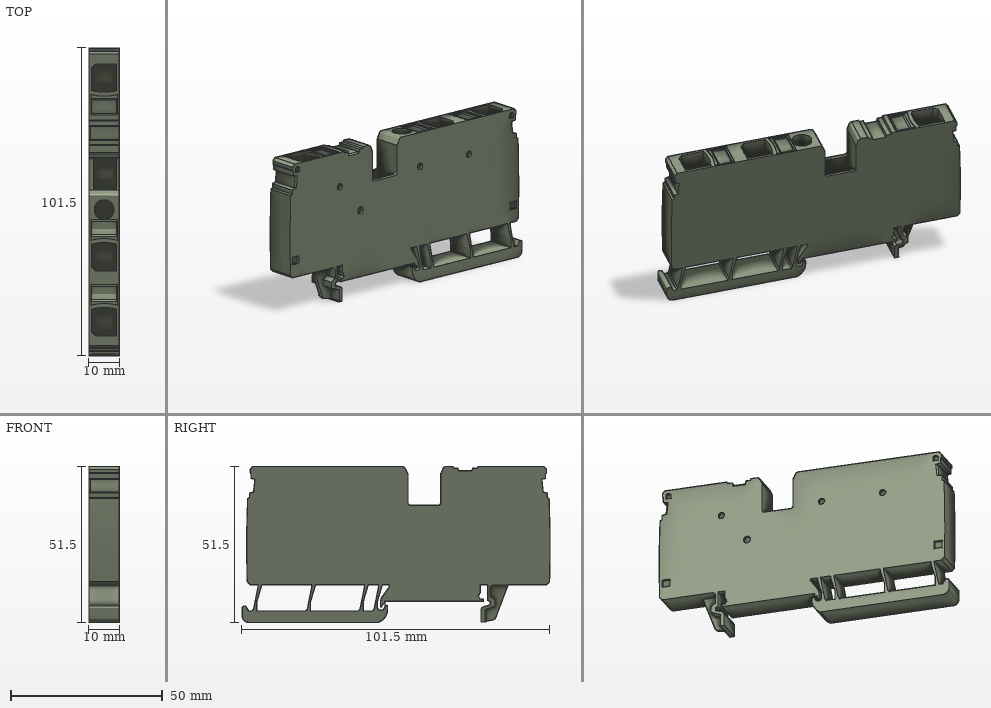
import cadquery as cq


THICKNESS = 10.0
LENGTH = 100.0
HEIGHT = 39.0
FOOT_BOTTOM = -12.45
FOOT_TIP_Y = -51.46

JOIN_OVERLAP = 0.2

HALF_LENGTH = LENGTH / 2
NEAR_FACE = -THICKNESS / 2

END_BULGE = 0.3
END_TOP = 28.4
BOTTOM_CORNER_CUT = 1.0

END_MARKER_TOP = HALF_LENGTH - 2.7, 34.75
END_MARKER_BOTTOM = HALF_LENGTH - 2.25, 30.6
TOP_MARKER_START = 24.2
TOP_MARKER_END = 19.85
MARKER_WALL_DRAFT = 0.25
TOP_MARKER_STEP = 38.45
TOP_MARKER_FLOOR = 37.6
MARKER_BEVEL = 0.5

SADDLE_START = 13.9
SADDLE_END = 3.2
SADDLE_FLOOR = 26.25
SADDLE_RADIUS = 0.7
SADDLE_POCKET_X = (-3.55, 4.15)
SADDLE_POCKET_DEPTH = 10.0

RAIL_SEAT = -5.5
CLIP_SLOT_START = 29.4
CLIP_SLOT_END = 27.0
HOOK_Y = -4.47
CLIP_WEB_THICKNESS = 1.5

FOOT_TOP = -8.6
RIB_TOP_WIDTH = 1.3
FIRST_RIB_Y = -5.26
RIB_OFFSETS = (0.0, 4.63, 22.0, 39.7)

WIRE_ENTRIES = ((35.4, 1), (-14.05, -1), (-35.45, -1))
WELL_X = (-4.1, 4.15)
WELL_LENGTH = 9.4
WELL_SAG = 0.6
WELL_CORNER = 1.3
WELL_DEPTH = 15.0
RELEASE_HALF_WIDTH = 4.4
RELEASE_START = 7.5
RELEASE_END = 1.3
RELEASE_LEDGE_DEPTH = 0.3
RELEASE_LEDGE_WIDTH = 0.3
RELEASE_CHANNEL = (
    (0.6, 0.0),
    (0.6, 1.0),
    (3.15, 1.0),
    (3.7, 0.9),
    (4.95, 0.7),
    (5.5, RELEASE_LEDGE_DEPTH),
    (5.5, 0.0),
)

SOCKET_Y = -3.25
SOCKET_RADIUS = 3.25
SOCKET_DEPTH = 15.0

RECESS_DEPTH = 1.0
ROUND_RECESSES = (
    (28.2, 27.25, 1.05),
    (19.2, 17.3, 1.2),
    (-6.85, 27.25, 1.05),
    (-28.2, 27.25, 1.05),
)
TOP_RECESS_Y = 46.75
TOP_RECESS_Z = 36.95
TOP_RECESS_RADIUS = 0.9
CORNER_RECESS_Y = 47.6
CORNER_RECESS_Z = 5.8
CORNER_RECESS_SIZE = (2.9, 2.6)
CORNER_RECESS_RADIUS = 0.6


def side_plane(x=NEAR_FACE):
    """Sketch plane looking along +X, with Y and Z as its axes."""
    return cq.Workplane("YZ", origin=(x, 0, 0))


def prism(points):
    """Straight-sided outline in Y and Z, through the full thickness."""
    return side_plane().polyline(points).close().extrude(THICKNESS)


def end_points():
    """Stepped outline of the +Y end, from its bulged face up to the top."""
    return [
        (HALF_LENGTH - END_BULGE, END_TOP),
        (HALF_LENGTH - 0.95, 28.75),
        (HALF_LENGTH - 0.95, 30.2),
        END_MARKER_BOTTOM,
        END_MARKER_TOP,
        (HALF_LENGTH - 1.45, 35.0),
        (HALF_LENGTH - 1.45, 36.6),
        (HALF_LENGTH - 1.15, 37.0),
        (HALF_LENGTH - 1.15, 38.0),
        (HALF_LENGTH - 2.0, HEIGHT),
    ]


def make_housing():
    left_end = end_points()
    right_end = [(-y, z) for y, z in reversed(left_end)]
    side_start = HALF_LENGTH - END_BULGE / 2
    mid_height = END_TOP / 2
    top = [
        (26.3, HEIGHT),
        (26.0, TOP_MARKER_STEP),
        (TOP_MARKER_START + MARKER_WALL_DRAFT, TOP_MARKER_STEP),
        (TOP_MARKER_START, TOP_MARKER_FLOOR),
        (TOP_MARKER_END, TOP_MARKER_FLOOR),
        (TOP_MARKER_END - MARKER_WALL_DRAFT, TOP_MARKER_STEP),
        (18.2, TOP_MARKER_STEP),
        (17.9, HEIGHT),
        (15.5, HEIGHT),
    ]
    outline = side_plane().moveTo(side_start - BOTTOM_CORNER_CUT, 0)
    outline = outline.lineTo(side_start, BOTTOM_CORNER_CUT)
    outline = outline.threePointArc((HALF_LENGTH, mid_height), left_end[0])
    for point in left_end[1:] + top:
        outline = outline.lineTo(*point)
    outline = (
        outline.threePointArc((14.9, 38.6), (14.5, 37.8))
        .lineTo(SADDLE_START, 36.5)
        .lineTo(SADDLE_START, SADDLE_FLOOR)
        .lineTo(SADDLE_END, SADDLE_FLOOR)
        .lineTo(SADDLE_END, 36.5)
        .lineTo(2.4, 38.1)
        .threePointArc((2.0, 38.7), (1.15, HEIGHT))
    )
    for point in right_end:
        outline = outline.lineTo(*point)
    outline = outline.threePointArc((-HALF_LENGTH, mid_height), (-side_start, BOTTOM_CORNER_CUT))
    outline = outline.lineTo(-side_start + BOTTOM_CORNER_CUT, 0)
    housing = outline.close().extrude(THICKNESS)
    for y in (SADDLE_START, SADDLE_END):
        corner = cq.selectors.NearestToPointSelector((0, y, SADDLE_FLOOR))
        housing = housing.edges(corner).fillet(SADDLE_RADIUS)
    return housing


def bevel_marker_seats(housing):
    """Bevel the -X edge of the floor of each marker seat."""
    end_y = (END_MARKER_TOP[0] + END_MARKER_BOTTOM[0]) / 2
    end_z = (END_MARKER_TOP[1] + END_MARKER_BOTTOM[1]) / 2
    top_y = (TOP_MARKER_START + TOP_MARKER_END) / 2
    for y, z in ((end_y, end_z), (-end_y, end_z), (top_y, TOP_MARKER_FLOOR)):
        edge = cq.selectors.NearestToPointSelector((NEAR_FACE, y, z))
        housing = housing.edges(edge).chamfer(MARKER_BEVEL)
    return housing


def make_rail_seat():
    """Block under the housing that rests on the rail, ending in a hook at its -Y side."""
    return prism([
        (CLIP_SLOT_END, JOIN_OVERLAP),
        (CLIP_SLOT_END, -2.5),
        (26.4, -3.8),
        (26.9, -4.65),
        (28.0, -4.75),
        (28.0, RAIL_SEAT),
        (HOOK_Y, RAIL_SEAT),
        (HOOK_Y, -6.4),
        (-5.03, -6.4),
        (-5.35, -6.74),
        (-5.35, -7.34),
        (-5.95, -7.34),
        (-5.95, -5.4),
        (-5.6, -4.3),
        (-2.9, -0.47),
        (-3.15, 0),
        (-3.15, JOIN_OVERLAP),
    ])


def make_clip():
    """Springy hook gripping the rail, stiffened by a thin web in mid thickness."""
    strip_outline = [
        (31.4, JOIN_OVERLAP),
        (CLIP_SLOT_START, JOIN_OVERLAP),
        (CLIP_SLOT_START, -5.2),
        (30.2, -5.5),
        (30.2, -6.6),
        (28.0, -7.2),
        (27.2, -7.9),
        (27.2, -12.3),
        (28.8, -12.3),
        (28.5, -12.0),
        (28.5, -8.2),
        (31.8, -7.05),
        (31.8, -4.95),
        (30.2, -3.8),
        (30.2, -1.3),
    ]
    strip = (
        side_plane()
        .polyline(strip_outline)
        .threePointArc((30.55, -0.4), (31.4, 0))
        .close()
        .extrude(THICKNESS)
    )
    web_outline = [
        (36.2, JOIN_OVERLAP),
        (36.2, 0),
        (32.0, -11.1),
        (31.4, -11.6),
        (28.0, -12.2),
        (28.0, -7.8),
        (31.0, -6.8),
        (31.0, -5.2),
        (29.7, -4.0),
        (29.7, JOIN_OVERLAP),
    ]
    web = (
        side_plane(-CLIP_WEB_THICKNESS / 2)
        .polyline(web_outline)
        .close()
        .extrude(CLIP_WEB_THICKNESS)
    )
    return strip.union(web)


def make_rib(y):
    """Slanted rib joining the foot to the housing; y is its upper +Y corner."""
    return prism([
        (y, JOIN_OVERLAP),
        (y, 0),
        (y - 1.35, -4.6),
        (y - 1.62, -5.5),
        (y - 1.62, FOOT_TOP - JOIN_OVERLAP),
        (y - 3.2, FOOT_TOP - JOIN_OVERLAP),
        (y - 3.2, FOOT_TOP),
        (y - 2.75, -7.95),
        (y - RIB_TOP_WIDTH, -0.6),
        (y - RIB_TOP_WIDTH, JOIN_OVERLAP),
    ])


def make_foot():
    lip_y = -3.5
    groove_end_y = FIRST_RIB_Y - 1.62
    bar = (
        side_plane()
        .moveTo(lip_y, -6.93)
        .lineTo(lip_y, -8.0)
        .threePointArc((-4.45, -10.8), (-6.6, FOOT_BOTTOM))
        .lineTo(-49.1, FOOT_BOTTOM)
        .threePointArc((-50.75, -11.9), (FOOT_TIP_Y, -10.4))
        .lineTo(FOOT_TIP_Y, -7.7)
        .threePointArc((-50.9, -6.98), (-50.06, -7.32))
        .lineTo(-49.3, FOOT_TOP)
        .lineTo(groove_end_y - 0.7, FOOT_TOP)
        .lineTo(groove_end_y, -7.5)
        .threePointArc((-5.75, -8.35), (HOOK_Y, -7.2))
        .lineTo(HOOK_Y, -6.8)
        .lineTo(-4.1, -6.7)
        .close()
        .extrude(THICKNESS)
    )
    for offset in RIB_OFFSETS:
        bar = bar.union(make_rib(FIRST_RIB_Y - offset))
    return bar


def top_plane():
    return cq.Workplane("XY", origin=(0, 0, HEIGHT))


def opening(outline, depth):
    """Solid from the top of the housing down to a depth, from an outline in X and Y."""
    return outline.close().extrude(-depth)


def make_well(middle_y, direction):
    """Wire well with a bowed side facing its release slot and one cut-off corner."""
    near_x, far_x = WELL_X
    side_y = middle_y + direction * WELL_SAG
    end_y = middle_y + direction * WELL_LENGTH
    outline = (
        top_plane()
        .moveTo(near_x, side_y)
        .threePointArc(((near_x + far_x) / 2, middle_y), (far_x, side_y))
        .lineTo(far_x, end_y)
        .lineTo(near_x + WELL_CORNER, end_y)
        .lineTo(near_x, end_y - direction * WELL_CORNER)
    )
    return opening(outline, WELL_DEPTH)


def make_release_slot(middle_y, direction):
    """Shallow slot with a deeper channel beside a well; its open end follows the bowed side of the well."""
    start_y = middle_y - direction * RELEASE_START
    arc_y = middle_y - direction * RELEASE_END
    side_y = arc_y + direction * WELL_SAG
    outline = (
        top_plane()
        .moveTo(-RELEASE_HALF_WIDTH, start_y)
        .lineTo(-RELEASE_HALF_WIDTH, side_y)
        .threePointArc((0, arc_y), (RELEASE_HALF_WIDTH, side_y))
        .lineTo(RELEASE_HALF_WIDTH, start_y)
    )
    ledge = opening(outline, RELEASE_LEDGE_DEPTH)
    channel_half_width = RELEASE_HALF_WIDTH - RELEASE_LEDGE_WIDTH
    profile = [(start_y + direction * distance, HEIGHT - depth) for distance, depth in RELEASE_CHANNEL]
    channel = side_plane(-channel_half_width).polyline(profile).close().extrude(2 * channel_half_width)
    return ledge.union(channel)


def cut_top_openings(body):
    for middle_y, direction in WIRE_ENTRIES:
        body = body.cut(make_well(middle_y, direction))
        body = body.cut(make_release_slot(middle_y, direction))
    socket = top_plane().center(0, SOCKET_Y).circle(SOCKET_RADIUS).extrude(-SOCKET_DEPTH)
    body = body.cut(socket)
    pocket_near, pocket_far = SADDLE_POCKET_X
    pocket_height = SADDLE_POCKET_DEPTH + SADDLE_RADIUS
    pocket = cq.Workplane("XY").box(
        pocket_far - pocket_near, SADDLE_START - SADDLE_END, pocket_height, centered=False
    )
    pocket = pocket.translate((pocket_near, SADDLE_END, SADDLE_FLOOR - SADDLE_POCKET_DEPTH))
    return body.cut(pocket)


def cut_side_recesses(body):
    for y, z, radius in ROUND_RECESSES:
        body = body.cut(side_plane().center(y, z).circle(radius).extrude(RECESS_DEPTH))
    for side in (1, -1):
        arch = (
            side_plane()
            .center(side * TOP_RECESS_Y, TOP_RECESS_Z)
            .moveTo(-TOP_RECESS_RADIUS, 0)
            .threePointArc((0, TOP_RECESS_RADIUS), (TOP_RECESS_RADIUS, 0))
            .lineTo(TOP_RECESS_RADIUS, -TOP_RECESS_RADIUS)
            .lineTo(-TOP_RECESS_RADIUS, -TOP_RECESS_RADIUS)
            .close()
            .extrude(RECESS_DEPTH)
        )
        corner = (
            side_plane()
            .center(side * CORNER_RECESS_Y, CORNER_RECESS_Z)
            .rect(*CORNER_RECESS_SIZE)
            .extrude(RECESS_DEPTH)
        )
        if side > 0:
            corner = corner.edges("|X").fillet(CORNER_RECESS_RADIUS)
        body = body.cut(arch).cut(corner)
    return body


block = bevel_marker_seats(make_housing())
block = block.union(make_rail_seat()).union(make_clip()).union(make_foot())
block = cut_top_openings(block)
result = cut_side_recesses(block)